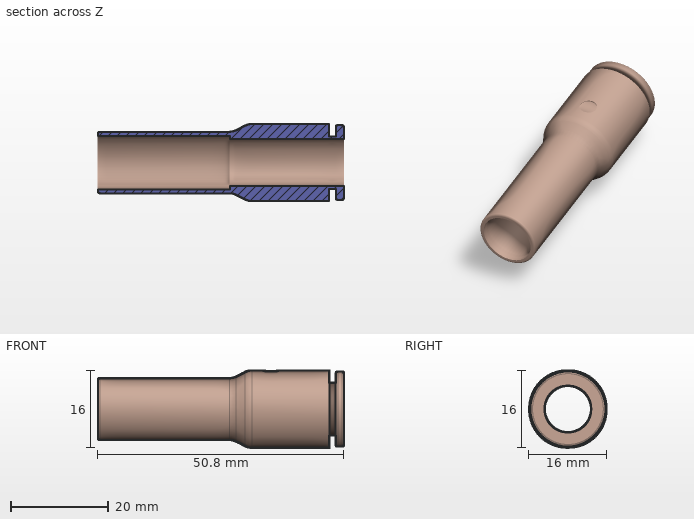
import cadquery as cq
import math

total_length = 50.75
taper_start = 27.15
body_end = 47.7
flange_start = 49.0

stem_radius = 6.4
body_radius = 7.99
neck_radius = 5.455
flange_radius = 7.75

stem_bore_radius = 5.455
through_bore_radius = 4.75

taper_angle = math.radians(27)
blend_radius = 3.0

edge_rounding = 0.45

recess_center_x = 35.65
recess_radius = 1.8
recess_depth = 0.25


def cylinder(start, end, radius):
    """Solid cylinder along X between two positions."""
    return cq.Workplane("YZ", origin=(start, 0, 0)).circle(radius).extrude(end - start)


def make_stem_and_body():
    """Stem, blended shoulder and body revolved about the X axis."""
    def blend_offset(angle):
        """Axial and radial travel along a blend arc turned through an angle."""
        return blend_radius * math.sin(angle), blend_radius * (1 - math.cos(angle))

    blend_length, blend_rise = blend_offset(taper_angle)
    mid_length, mid_rise = blend_offset(taper_angle / 2)
    cone_rise = body_radius - stem_radius - 2 * blend_rise
    taper_end = taper_start + 2 * blend_length + cone_rise / math.tan(taper_angle)
    profile = (
        cq.Workplane("XY")
        .lineTo(0, stem_radius)
        .lineTo(taper_start, stem_radius)
        .threePointArc(
            (taper_start + mid_length, stem_radius + mid_rise),
            (taper_start + blend_length, stem_radius + blend_rise),
        )
        .lineTo(taper_end - blend_length, body_radius - blend_rise)
        .threePointArc(
            (taper_end - mid_length, body_radius - mid_rise),
            (taper_end, body_radius),
        )
        .lineTo(body_end, body_radius)
        .lineTo(body_end, 0)
        .close()
    )
    solid = profile.revolve(360, (0, 0, 0), (1, 0, 0))
    return solid.faces("<X").edges().fillet(edge_rounding)


def make_collet():
    """Narrow neck carrying the rounded release flange."""
    neck = cylinder(body_end, flange_start, neck_radius)
    flange = cylinder(flange_start, total_length, flange_radius)
    flange = flange.faces("<X or >X").edges().fillet(edge_rounding)
    return neck.union(flange)


def make_bore():
    """Wide bore through the stem, narrower bore through the rest."""
    through_bore = cylinder(0, total_length, through_bore_radius)
    return through_bore.union(cylinder(0, taper_start, stem_bore_radius))


def make_recess():
    """Flat-bottomed round recess cutter, below the crown of the body."""
    floor = body_radius - recess_depth
    return (
        cq.Workplane("XY", origin=(recess_center_x, 0, floor))
        .circle(recess_radius)
        .extrude(2 * recess_depth)
    )


result = make_stem_and_body().union(make_collet()).cut(make_bore()).cut(make_recess())